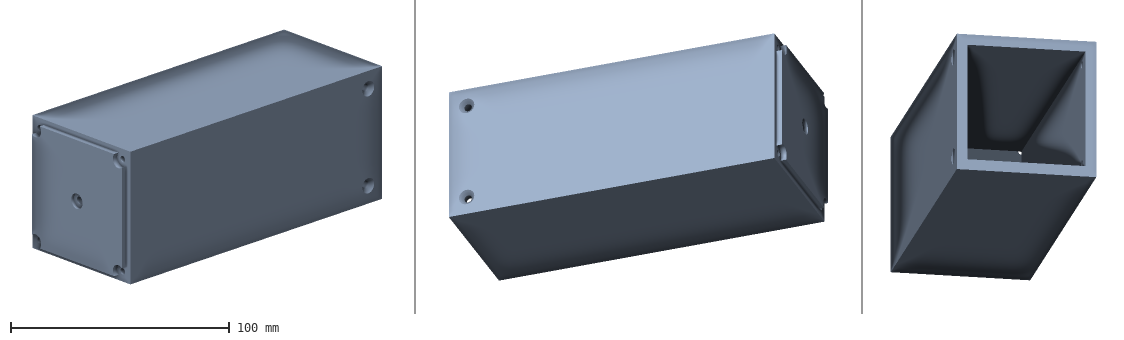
import cadquery as cq

width = 65.0
total_length = 162.0

plate_thickness = 2.8
housing_length = total_length - plate_thickness
wall = 5.0
front_wall = 5.0
corner_hole_diameter = 3.0
corner_hole_inset = 5.0

screw_diameter = 3.5
screw_head_diameter = 7.5
countersink_angle = 90.0
side_hole_inset = 8.7

plate_margin = 2.6
plate_width = width - 2 * plate_margin
notch_diameter = 7.5
counterbore_depth = 1.6

half_width = width / 2
corner_offset = half_width - corner_hole_inset
side_hole_offset = half_width - side_hole_inset
corner_points = [(sx * corner_offset, sz * corner_offset) for sx in (-1, 1) for sz in (-1, 1)]


def front_plane(y):
    """Sketch plane facing the front (-Y) at the given Y."""
    return cq.Workplane("XZ", origin=(0, y, 0))


def make_housing():
    """Tube with a front wall at Y = 0 and its open end at the back."""
    body = front_plane(0).rect(width, width).extrude(-housing_length)
    opening = width - 2 * wall
    cavity = front_plane(front_wall).rect(opening, opening).extrude(-housing_length)
    body = body.cut(cavity)

    corner_holes = front_plane(0).pushPoints(corner_points).circle(corner_hole_diameter / 2)
    body = body.cut(corner_holes.extrude(-front_wall))

    body = body.cut(front_plane(0).circle(screw_diameter / 2).extrude(-front_wall))

    side_hole_y = housing_length - side_hole_inset
    for side in (-1, 1):
        side_plane = cq.Plane(
            origin=(side * half_width, side_hole_y, 0),
            xDir=(0, 1, 0),
            normal=(side, 0, 0),
        )
        body = (
            body.copyWorkplane(cq.Workplane(side_plane))
            .pushPoints([(0, -side_hole_offset), (0, side_hole_offset)])
            .cskHole(screw_diameter, screw_head_diameter, countersink_angle, depth=wall)
        )
    return body


def make_front_plate():
    """Plate on the front wall, notched around the corner holes."""
    plate = front_plane(0).rect(plate_width, plate_width).extrude(plate_thickness)
    notches = front_plane(0).pushPoints(corner_points).circle(notch_diameter / 2)
    plate = plate.cut(notches.extrude(plate_thickness))
    return (
        plate.copyWorkplane(front_plane(-plate_thickness))
        .cboreHole(screw_diameter, screw_head_diameter, counterbore_depth, depth=plate_thickness)
    )


housing = make_housing()
front_plate = make_front_plate()

result = cq.Compound.makeCompound([housing.val(), front_plate.val()])